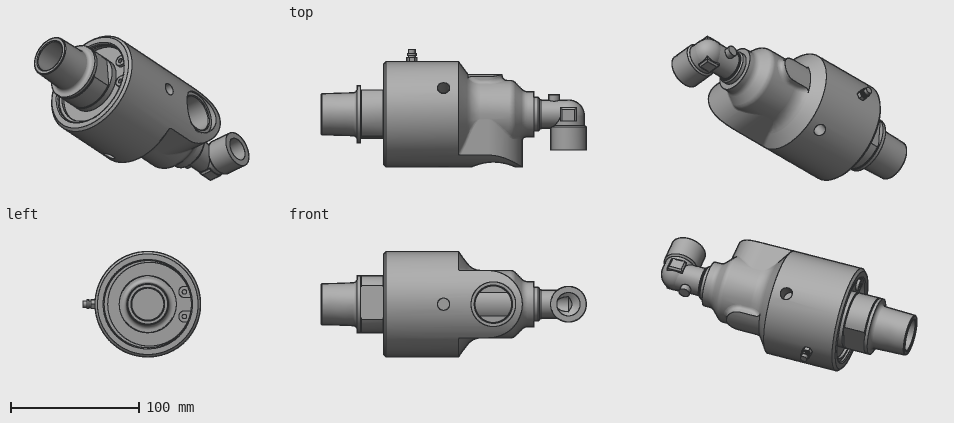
import cadquery as cq
import math


OVERLAP = 1.0

TIP_RADIUS = 16.1
TIP_CHAMFER = 0.6
THREAD_LENGTH = 25.4
THREAD_TAPER = 1 / 32
FLANGE_START = 28.2
FLANGE_END = 30.9
FLANGE_RADIUS = 44.65 / 2
FLANGE_FILLET_TOP = 20.2
RUNOUT_ARC_RADIUS = 3.4
RELIEF_WIDTH = 0.8
RELIEF_DEPTH = 0.5
SHAFT_BORE_RADIUS = 25 / 2
SHAFT_BORE_DEPTH = 50.0
SHAFT_BORE_CHAMFER = 0.7
WRENCH_FLAT_OFFSET = 18.0
WRENCH_FLAT_TURN = 4.5
WRENCH_FLAT_END = 49.0

BODY_START = 48.8
BODY_END = 107.2
BODY_RADIUS = 82.6 / 2
BODY_CHAMFER = 2.0
RECESS_RADIUS = 68.1 / 2
RECESS_DEPTH = 5.2
RECESS_CHAMFER = 0.9

NECK_RADIUS = 26.5
SHOULDER_ANGLE = 53.6
SHOULDER_FILLET = 12.3
NECK_CYLINDER_END = 147.4
NECK_CONE_FILLET = 6.0
COLLAR_RADIUS = 17.7
COLLAR_END = 166.1
NUT_RADIUS = 13.3
NUT_CHAMFER_START = 169.4
NUT_END = 170.7
NUT_END_RADIUS = 12.2
NUT_LIP_RADIUS = 11.5
NUT_LIP_END = 171.5

RING_THICKNESS = 2.5
RING_INNER_RADIUS = 32.7
RING_INNER_OFFSET = 1.4
LUG_RADIUS = 4.4
LUG_Y = -28.6
LUG_Z = 9.6
LUG_HOLE_DIAMETER = 3.5
RING_GAP_HALF = 5.3

PORT_BOSS_HALF = 26.2
PORT_BOSS_CENTER = 130.9
PORT_BOSS_FILLET = 2.5
PORT_CENTER = 134.5
PORT_DIAMETER = 28.57
PORT_CHAMFER = 0.7
PORT_FACE_DIAMETER = 34.9
PORT_FACE_Y = -36.5
TUBE_DIAMETER = 34.9
TUBE_EXPOSED_WIDTH = 18.25

BACK_PAD_HALF = 10.5
BACK_PAD_RADIUS = 31.2
BACK_PAD_FILLET = 3.5

DRAIN_X = 95.6
DRAIN_DIAMETER = 9.5
DRAIN_DEPTH = 17.0
DRAIN_COUNT = 3

NIPPLE_X = 70.9
NIPPLE_TOP = 50.71
HEX_FLATS = 7.0
HEX_CORNER_DIAMETER = HEX_FLATS / math.cos(math.pi / 6)
HEX_TOP = 44.4
NIPPLE_STEM_RADIUS = 5.36 / 2
NIPPLE_COLLAR_START = 46.0
NIPPLE_COLLAR_END = 47.6
NIPPLE_COLLAR_RADIUS = 3.5

SOCKET_RADIUS = 14.0
ELBOW_X = 207.14 - SOCKET_RADIUS
PIPE_RADIUS = 22 / 2
LEG_RADIUS = 25 / 2
BEND_Y = -1.3
LEG_END = -8.7
SOCKET_START = -10.0
SOCKET_END = -28.05
SOCKET_BORE_DIAMETER = 18.25
SOCKET_BORE_END = -7.3
DRILL_POINT_ANGLE = 118.0
ELBOW_BORE_DIAMETER = 15.88
ELBOW_PAD_LENGTH = 12.6
ELBOW_PAD_WIDTH = 10.2
ELBOW_PAD_TOP = 13.0
ELBOW_PAD_CHAMFER = 1.4
KNOB_X = 181.9
KNOB_DIAMETER = 8.6
KNOB_TOP = 15.3


def x_cylinder(radius, start, end):
    return cq.Workplane("YZ").workplane(offset=start).circle(radius).extrude(end - start)


def y_cylinder(radius, x, start, end):
    """Cylinder along Y at the given X, between two Y positions (start < end)."""
    plane = cq.Plane(origin=(x, start, 0), xDir=(1, 0, 0), normal=(0, 1, 0))
    return cq.Workplane(plane).circle(radius).extrude(end - start)


def y_revolved(x, points):
    """Solid turned about the Y-parallel line at X; points are (radius, y)."""
    profile = cq.Workplane("XY", origin=(x, 0, 0)).polyline(points).close()
    return profile.revolve(360, (0, 0, 0), (0, 1, 0))


def make_shaft():
    thread_radius = TIP_RADIUS + THREAD_LENGTH * THREAD_TAPER
    relief_radius = FLANGE_RADIUS - RELIEF_DEPTH
    relief_end = FLANGE_END + RELIEF_WIDTH
    shaft = (
        cq.Workplane("XY")
        .lineTo(0, TIP_RADIUS - TIP_CHAMFER)
        .lineTo(TIP_CHAMFER, TIP_RADIUS)
        .lineTo(THREAD_LENGTH, thread_radius)
        .radiusArc((FLANGE_START, FLANGE_FILLET_TOP), -RUNOUT_ARC_RADIUS)
        .lineTo(FLANGE_START, FLANGE_RADIUS)
        .lineTo(FLANGE_END, FLANGE_RADIUS)
        .lineTo(FLANGE_END, relief_radius)
        .lineTo(relief_end, relief_radius)
        .lineTo(relief_end, FLANGE_RADIUS)
        .lineTo(WRENCH_FLAT_END - RELIEF_WIDTH, FLANGE_RADIUS)
        .lineTo(WRENCH_FLAT_END - RELIEF_WIDTH, relief_radius)
        .lineTo(WRENCH_FLAT_END, relief_radius)
        .lineTo(WRENCH_FLAT_END, FLANGE_RADIUS)
        .lineTo(BODY_START + RECESS_DEPTH, FLANGE_RADIUS)
        .lineTo(BODY_START + RECESS_DEPTH, 0)
        .close()
        .revolve(360, (0, 0, 0), (1, 0, 0))
    )
    flat_length = WRENCH_FLAT_END - FLANGE_END
    for side in (-1, 1):
        waste = cq.Workplane("XY").box(flat_length, FLANGE_RADIUS, 2 * FLANGE_RADIUS)
        waste = waste.translate((
            FLANGE_END + flat_length / 2,
            side * (WRENCH_FLAT_OFFSET + FLANGE_RADIUS / 2),
            0,
        ))
        shaft = shaft.cut(waste.rotate((0, 0, 0), (1, 0, 0), -WRENCH_FLAT_TURN))
    bore = x_cylinder(SHAFT_BORE_RADIUS, 0, SHAFT_BORE_DEPTH)
    bore_mouth = (
        cq.Workplane("YZ")
        .circle(SHAFT_BORE_RADIUS + SHAFT_BORE_CHAMFER)
        .workplane(offset=SHAFT_BORE_CHAMFER)
        .circle(SHAFT_BORE_RADIUS)
        .loft()
    )
    return shaft.cut(bore).cut(bore_mouth)


def make_housing():
    """Body, neck and end collar turned in one profile, with the turning seam at -Z."""
    angle = math.radians(SHOULDER_ANGLE)
    arc_start_x = BODY_END + (
        BODY_RADIUS - NECK_RADIUS - SHOULDER_FILLET * (1 - math.cos(angle))
    ) / math.tan(angle)
    arc_start_radius = NECK_RADIUS + SHOULDER_FILLET * (1 - math.cos(angle))
    arc_end_x = arc_start_x + SHOULDER_FILLET * math.sin(angle)

    arc_run = NECK_CONE_FILLET * math.sin(math.pi / 4)
    arc_drop = NECK_CONE_FILLET - arc_run
    cone_start_x = NECK_CYLINDER_END + arc_run
    cone_drop = NECK_RADIUS - COLLAR_RADIUS - 2 * arc_drop
    cone_end_x = cone_start_x + cone_drop
    return (
        cq.Workplane("XY")
        .moveTo(BODY_START, 0)
        .lineTo(BODY_START, BODY_RADIUS - BODY_CHAMFER)
        .lineTo(BODY_START + BODY_CHAMFER, BODY_RADIUS)
        .lineTo(BODY_END, BODY_RADIUS)
        .lineTo(arc_start_x, arc_start_radius)
        .radiusArc((arc_end_x, NECK_RADIUS), -SHOULDER_FILLET)
        .lineTo(NECK_CYLINDER_END, NECK_RADIUS)
        .radiusArc((cone_start_x, NECK_RADIUS - arc_drop), NECK_CONE_FILLET)
        .lineTo(cone_end_x, COLLAR_RADIUS + arc_drop)
        .radiusArc((cone_end_x + arc_run, COLLAR_RADIUS), -NECK_CONE_FILLET)
        .lineTo(COLLAR_END, COLLAR_RADIUS)
        .lineTo(COLLAR_END, 0)
        .close()
        .revolve(360, (0, 0, 0), (1, 0, 0))
        .rotate((0, 0, 0), (1, 0, 0), -90)
    )


def make_boss(half_width, outer_radius, side):
    """Round-ended boss from the body to the port axis, trimmed to a cylinder about X."""
    length = PORT_BOSS_CENTER - BODY_END
    plane = cq.Plane(origin=(PORT_BOSS_CENTER, 0, 0), xDir=(1, 0, 0), normal=(0, side, 0))
    boss = (
        cq.Workplane(plane)
        .moveTo(-length, -half_width)
        .lineTo(0, -half_width)
        .threePointArc((half_width, 0), (0, half_width))
        .lineTo(-length, half_width)
        .close()
        .extrude(2 * outer_radius)
    )
    return boss.intersect(x_cylinder(outer_radius, BODY_START, COLLAR_END))


def fillet_boss_root(housing, outer_radius, side, radius):
    """Round the seam where a boss on the given Y side meets the neck and shoulder."""
    margin = 0.3
    parallel = 0.999
    seam = []
    for edge in housing.edges().vals():
        middle = edge.positionAt(0.5)
        on_neck = middle.x > BODY_END and middle.y * side > margin
        below_top = math.hypot(middle.y, middle.z) < outer_radius - margin
        along_boss = abs(edge.tangentAt(0.5).y) > parallel
        turned = edge.geomType() == "CIRCLE"
        if on_neck and below_top and not along_boss and not turned:
            seam.append(edge)
    return housing.newObject(seam).fillet(radius)


def cut_recess(housing):
    floor_x = BODY_START + RECESS_DEPTH
    recess = x_cylinder(RECESS_RADIUS, BODY_START, floor_x)
    mouth = (
        cq.Workplane("YZ")
        .workplane(offset=BODY_START)
        .circle(RECESS_RADIUS + RECESS_CHAMFER)
        .workplane(offset=RECESS_CHAMFER)
        .circle(RECESS_RADIUS)
        .loft()
    )
    return housing.cut(recess).cut(mouth)


def make_snap_ring():
    """Eccentric snap ring with two drilled lugs, lying on the recess floor."""
    front_x = BODY_START + RECESS_DEPTH - RING_THICKNESS
    plane = cq.Workplane("YZ").workplane(offset=front_x)
    ring = plane.circle(RECESS_RADIUS).extrude(RING_THICKNESS)
    hole = plane.center(-RING_INNER_OFFSET, 0).circle(RING_INNER_RADIUS).extrude(RING_THICKNESS)
    ring = ring.cut(hole)
    for side in (-1, 1):
        lug = plane.center(LUG_Y, side * LUG_Z).circle(LUG_RADIUS).extrude(RING_THICKNESS)
        root = (
            plane.center(LUG_Y - LUG_RADIUS, side * LUG_Z)
            .rect(2 * LUG_RADIUS, 2 * LUG_RADIUS)
            .extrude(RING_THICKNESS)
        )
        pin_hole = (
            plane.center(LUG_Y, side * LUG_Z).circle(LUG_HOLE_DIAMETER / 2).extrude(RING_THICKNESS)
        )
        ring = ring.union(lug).union(root).cut(pin_hole)
    gap = (
        plane.center(-RECESS_RADIUS, 0)
        .rect(RECESS_RADIUS, 2 * RING_GAP_HALF)
        .extrude(RING_THICKNESS)
    )
    envelope = plane.circle(RECESS_RADIUS).extrude(RING_THICKNESS)
    return ring.cut(gap).intersect(envelope)


def cut_port(part):
    """Side port with a round seat; the wall of the inner tube bulges above its flat floor."""
    port_radius = PORT_DIAMETER / 2
    mouth_radius = port_radius + PORT_CHAMFER
    floor_y = -math.sqrt((TUBE_DIAMETER / 2) ** 2 - (TUBE_EXPOSED_WIDTH / 2) ** 2)
    port = y_revolved(PORT_CENTER, [
        (0, floor_y),
        (port_radius, floor_y),
        (port_radius, PORT_FACE_Y + PORT_CHAMFER),
        (mouth_radius, PORT_FACE_Y),
        (PORT_FACE_DIAMETER / 2, PORT_FACE_Y),
        (PORT_FACE_DIAMETER / 2, -BODY_RADIUS - OVERLAP),
        (0, -BODY_RADIUS - OVERLAP),
    ])
    tube = x_cylinder(TUBE_DIAMETER / 2, PORT_CENTER - port_radius, PORT_CENTER + port_radius)
    return part.cut(port.cut(tube))


def cut_drains(part):
    for index in range(DRAIN_COUNT):
        outside = -BODY_RADIUS - OVERLAP
        drain = y_cylinder(DRAIN_DIAMETER / 2, DRAIN_X, outside, DRAIN_DEPTH - BODY_RADIUS)
        part = part.cut(drain.rotate((0, 0, 0), (1, 0, 0), index * 360 / DRAIN_COUNT))
    return part


def make_nipple():
    root_y = BODY_RADIUS - OVERLAP
    plane = cq.Plane(origin=(NIPPLE_X, root_y, 0), xDir=(1, 0, 0), normal=(0, 1, 0))
    hexagon = cq.Workplane(plane).polygon(6, HEX_CORNER_DIAMETER).extrude(HEX_TOP - root_y)
    stem = y_revolved(NIPPLE_X, [
        (0, root_y),
        (NIPPLE_STEM_RADIUS, root_y),
        (NIPPLE_STEM_RADIUS, NIPPLE_COLLAR_START),
        (NIPPLE_COLLAR_RADIUS, NIPPLE_COLLAR_START),
        (NIPPLE_COLLAR_RADIUS, NIPPLE_COLLAR_END),
        (NIPPLE_STEM_RADIUS, NIPPLE_COLLAR_END),
        (NIPPLE_STEM_RADIUS, NIPPLE_TOP),
        (0, NIPPLE_TOP),
    ])
    return hexagon.union(stem)


def make_nut():
    return (
        cq.Workplane("XY")
        .moveTo(COLLAR_END - OVERLAP, 0)
        .lineTo(COLLAR_END - OVERLAP, NUT_RADIUS)
        .lineTo(NUT_CHAMFER_START, NUT_RADIUS)
        .lineTo(NUT_END, NUT_END_RADIUS)
        .lineTo(NUT_END, NUT_LIP_RADIUS)
        .lineTo(NUT_LIP_END, NUT_LIP_RADIUS)
        .lineTo(NUT_LIP_END, 0)
        .close()
        .revolve(360, (0, 0, 0), (1, 0, 0))
    )


def drill(axis, radius, start, shoulder):
    """Drilled hole along X or Y with a conical point beyond the shoulder."""
    tip = shoulder + radius / math.tan(math.radians(DRILL_POINT_ANGLE / 2))
    profile = [(0, start), (radius, start), (radius, shoulder), (0, tip)]
    axis_end = (0, 1, 0)
    if axis == "X":
        profile = [(along, across) for across, along in profile]
        axis_end = (1, 0, 0)
    return cq.Workplane("XY").polyline(profile).close().revolve(360, (0, 0, 0), axis_end)


def make_elbow():
    pipe = x_cylinder(PIPE_RADIUS, COLLAR_END, ELBOW_X)
    leg = (
        cq.Workplane("XY", origin=(ELBOW_X, 0, 0))
        .moveTo(0, BEND_Y + LEG_RADIUS)
        .radiusArc((LEG_RADIUS, BEND_Y), LEG_RADIUS)
        .lineTo(LEG_RADIUS, LEG_END)
        .lineTo(SOCKET_RADIUS, SOCKET_START)
        .lineTo(SOCKET_RADIUS, SOCKET_END)
        .lineTo(0, SOCKET_END)
        .close()
        .revolve(360, (0, 0, 0), (0, 1, 0))
    )
    pads = (
        cq.Workplane("XY")
        .box(ELBOW_PAD_LENGTH, ELBOW_PAD_WIDTH, 2 * ELBOW_PAD_TOP)
        .edges("(|Y and (>Z or <Z)) or (|X and >Y)")
        .chamfer(ELBOW_PAD_CHAMFER)
        .translate((ELBOW_X, 0, 0))
    )
    knob = y_cylinder(KNOB_DIAMETER / 2, KNOB_X, 0, KNOB_TOP)
    elbow = pipe.union(leg).union(pads).union(knob)
    socket_bore = drill("Y", SOCKET_BORE_DIAMETER / 2, SOCKET_END, SOCKET_BORE_END)
    socket_bore = socket_bore.translate((ELBOW_X, 0, 0))
    pipe_bore = drill("X", ELBOW_BORE_DIAMETER / 2, NUT_END, ELBOW_X)
    return elbow.cut(socket_bore).cut(pipe_bore)


housing = make_housing()
housing = housing.union(make_boss(PORT_BOSS_HALF, BODY_RADIUS, -1))
housing = fillet_boss_root(housing, BODY_RADIUS, -1, PORT_BOSS_FILLET)
housing = housing.union(make_boss(BACK_PAD_HALF, BACK_PAD_RADIUS, 1))
housing = fillet_boss_root(housing, BACK_PAD_RADIUS, 1, BACK_PAD_FILLET)
housing = cut_recess(housing)
result = housing.union(make_shaft()).union(make_snap_ring())
result = cut_port(result)
result = cut_drains(result)
result = result.union(make_nipple()).union(make_nut()).union(make_elbow())